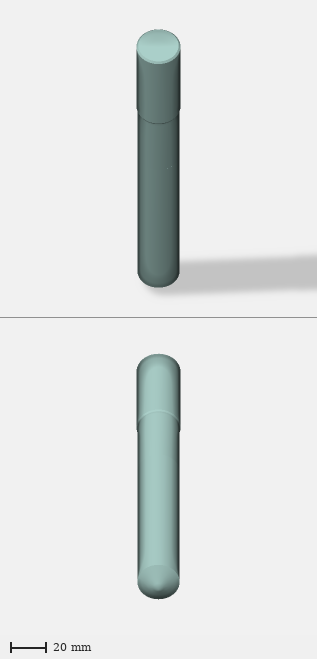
import cadquery as cq
import math

total_length = 216.0
shank_diameter = 25.0
drill_diameter = 24.0
point_angle = 118.0

cutting_length = 116.2
neck_top = 158.5
shoulder_height = 1.3
top_chamfer = 1.0

shank_radius = shank_diameter / 2
drill_radius = drill_diameter / 2
point_height = drill_radius / math.tan(math.radians(point_angle / 2))


def make_cutting_head():
    """Cylindrical cutting length with a conical point, starting its revolution at -X."""
    return (
        cq.Workplane("XZ")
        .moveTo(0, 0)
        .lineTo(-drill_radius, point_height)
        .lineTo(-drill_radius, cutting_length)
        .lineTo(0, cutting_length)
        .close()
        .revolve(360, (0, 0), (0, 1))
    )


def make_shank():
    """Neck, conical shoulder and chamfered shank, starting its revolution at -Y."""
    return (
        cq.Workplane("YZ")
        .moveTo(0, cutting_length)
        .lineTo(-drill_radius, cutting_length)
        .lineTo(-drill_radius, neck_top)
        .lineTo(-shank_radius, neck_top + shoulder_height)
        .lineTo(-shank_radius, total_length - top_chamfer)
        .lineTo(-shank_radius + top_chamfer, total_length)
        .lineTo(0, total_length)
        .close()
        .revolve(360, (0, 0), (0, 1))
    )


cutting_head = make_cutting_head()
shank = make_shank()

result = cq.Compound.makeCompound([cutting_head.val(), shank.val()])